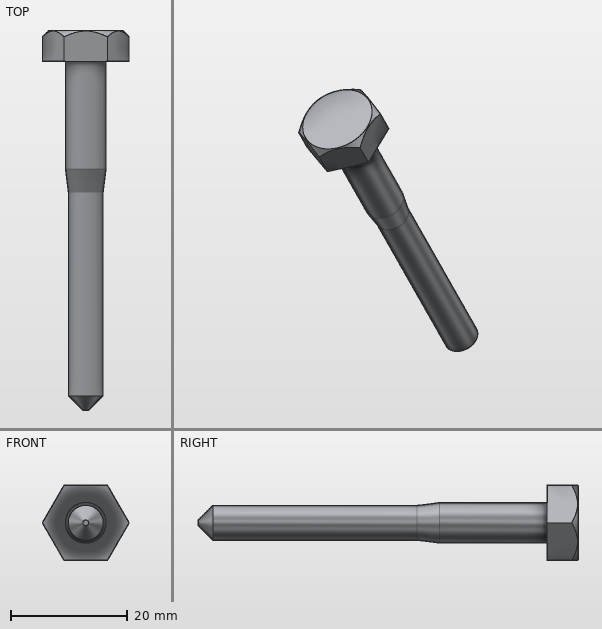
import cadquery as cq
import math

total_length = 65.5

head_sides = 6
across_flats = 13.0
across_corners = across_flats / math.cos(math.pi / head_sides)
head_height = 5.4
head_top_diameter = 12.7
head_chamfer_angle = 45.0

shank_diameter = 7.0
shank_length = 18.55
taper_length = 3.9
pin_diameter = 6.0

point_end_diameter = 1.0
point_half_angle = 45.0


def revolve_about_y(profile):
    """Close a half profile drawn in the XY plane and turn it about the Y axis."""
    return profile.close().revolve(axisStart=(0, 0, 0), axisEnd=(0, 1, 0))


def make_head():
    """Hexagonal prism whose top corners are cut back by a cone."""
    hexagon = cq.Workplane("XZ").polygon(head_sides, across_corners).extrude(-head_height)

    corner_radius = across_corners / 2
    top_radius = head_top_diameter / 2
    chamfer_drop = (corner_radius - top_radius) * math.tan(math.radians(head_chamfer_angle))
    chamfer_envelope = revolve_about_y(
        cq.Workplane("XY")
        .lineTo(corner_radius, 0)
        .lineTo(corner_radius, head_height - chamfer_drop)
        .lineTo(top_radius, head_height)
        .lineTo(0, head_height)
    )
    return hexagon.intersect(chamfer_envelope)


def make_shank():
    """Round shank, taper, thinner pin and blunt conical point below the head."""
    shank_radius = shank_diameter / 2
    pin_radius = pin_diameter / 2
    point_end_radius = point_end_diameter / 2

    taper_start = -shank_length
    taper_end = taper_start - taper_length
    point_end = head_height - total_length
    point_length = (pin_radius - point_end_radius) / math.tan(math.radians(point_half_angle))
    return revolve_about_y(
        cq.Workplane("XY")
        .lineTo(shank_radius, 0)
        .lineTo(shank_radius, taper_start)
        .lineTo(pin_radius, taper_end)
        .lineTo(pin_radius, point_end + point_length)
        .lineTo(point_end_radius, point_end)
        .lineTo(0, point_end)
    )


result = make_head().union(make_shank())